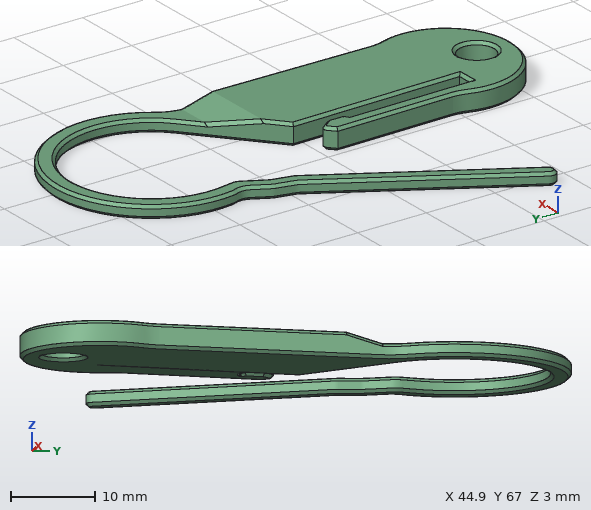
import cadquery as cq
import math


TAG_HEIGHT = 3.0
HOOK_HEIGHT = 1.8
SLOT_FLOOR = 0.4
CHAMFER = 0.4

END_RADIUS = 9.5
TAG_HALF_WIDTH = 8.65
SIDE_FLARE = 0.3
BLEND_RADIUS = 6.0
HOLE_DIAMETER = 5.0
HOLE_Y = -4.5
SHOULDER = (-4.75, 25.6)

RAMP_TOP_Y = 27.9
RAMP_FOOT_Y = 32.35

TAG_ZONE_HALF_WIDTH = 12.05

RING_X = -1.0
RING_Y = 43.6
RING_OUTER = 13.85
RING_INNER = 11.4
RING_END_Y = 41.2

ARM_WIDTH = 2.15
ARM_BENDS = [(-13.0, 39.45), (-14.9, 36.0), (-15.6, 32.95)]
ARM_TIP = (-30.95, 7.2)
BEND_RADIUS = 2.0

SLOT_END_Y = 1.1
SLOT_END_LEFT = -6.55
SLOT_END_RIGHT = -4.3
FINGER_INNER_X = -6.75
FINGER_SHOULDER_Y = 22.1
FINGER_PEAK = (-7.45, 23.45)
FINGER_PEAK_RADIUS = 0.7
BARB_X = -6.1
BARB_TOP_Y = 21.7
BARB_BOTTOM_Y = 19.3
BARB_UNDERCUT_Y = 18.9
FLOOR_EDGE_MIDDLE_Y = 18.3
FLOOR_EDGE_CORNER_Y = 18.8


def polar(centre, radius, angle):
    return (centre[0] + radius * math.cos(angle), centre[1] + radius * math.sin(angle))


def direction(start, end):
    return math.atan2(end[1] - start[1], end[0] - start[0])


def signed_angle(from_angle, to_angle):
    return math.remainder(to_angle - from_angle, 2 * math.pi)


def wall_blend(centre, radius, wall_x, above):
    """Concave arc joining a wall along Y to a circle on its left: wall, middle and circle points."""
    blend_dx = wall_x + BLEND_RADIUS - centre[0]
    blend_dy = math.sqrt((radius + BLEND_RADIUS) ** 2 - blend_dx**2)
    blend_centre = (wall_x + BLEND_RADIUS, centre[1] + (blend_dy if above else -blend_dy))
    to_circle = direction(blend_centre, centre) % (2 * math.pi)
    middle = polar(blend_centre, BLEND_RADIUS, (math.pi + to_circle) / 2)
    return (wall_x, blend_centre[1]), middle, polar(blend_centre, BLEND_RADIUS, to_circle)


def mirrored(points):
    return [(-x, y) for x, y in points]


def rounded_corner(path, before, corner, after, radius):
    """A line towards the corner, then an arc tangent to both of its sides."""
    angle_in = direction(corner, before)
    angle_out = direction(corner, after)
    opening = signed_angle(angle_in, angle_out)
    half_angle = abs(opening) / 2
    bisector = angle_in + opening / 2
    setback = radius / math.tan(half_angle)
    middle = polar(corner, radius / math.sin(half_angle) - radius, bisector)
    path = path.lineTo(*polar(corner, setback, angle_in))
    return path.threePointArc(middle, polar(corner, setback, angle_out))


def ring_point(radius):
    """Point on the arm side of the ring where the round stretch ends."""
    drop = RING_Y - RING_END_Y
    return (RING_X - math.sqrt(radius**2 - drop**2), RING_END_Y)


def arm_side(side):
    """Corners of one edge of the arm, ring to tip; side is +1 or -1 for left or right of travel."""
    start = ring_point((RING_OUTER + RING_INNER) / 2)
    centres = [start] + ARM_BENDS + [ARM_TIP]
    corners = []
    for before, here, after in zip(centres, centres[1:], centres[2:]):
        turn = signed_angle(direction(before, here), direction(here, after))
        normal = direction(before, here) + turn / 2 + side * math.pi / 2
        corners.append(polar(here, ARM_WIDTH / 2 / math.cos(turn / 2), normal))
    tip_normal = direction(ARM_BENDS[-1], ARM_TIP) + side * math.pi / 2
    return corners + [polar(ARM_TIP, ARM_WIDTH / 2, tip_normal)]


def draw_arm_edge(path, points):
    """Straight lines through the points, with the bends between them rounded."""
    for before, corner, after in zip(points, points[1:], points[2:]):
        path = rounded_corner(path, before, corner, after, BEND_RADIUS)
    return path.lineTo(*points[-1])


def outline():
    """Closed plan outline of tag, ring, arm and finger, drawn anticlockwise from the tag's round end."""
    ring_centre = (RING_X, RING_Y)
    flared_x = TAG_HALF_WIDTH + SIDE_FLARE
    low_wall, low_middle, low_end = wall_blend((0, 0), END_RADIUS, TAG_HALF_WIDTH, True)
    left_wall, left_middle, left_end = mirrored([low_wall, low_middle, low_end])
    high_wall, high_middle, high_end = wall_blend(ring_centre, RING_OUTER, flared_x, False)

    outer_edge = [ring_point(RING_OUTER)] + arm_side(-1)
    inner_edge = [ring_point(RING_INNER)] + arm_side(1)
    inner_edge.reverse()

    to_shoulder = direction(ring_centre, SHOULDER)
    tangent_turn = math.acos(RING_INNER / math.dist(ring_centre, SHOULDER))
    tangent_point = polar(ring_centre, RING_INNER, to_shoulder + tangent_turn)
    ring_top_inner = (RING_X, RING_Y + RING_INNER)
    ring_top_outer = (RING_X, RING_Y + RING_OUTER)

    barb_top = (BARB_X, BARB_TOP_Y)
    finger_shoulder = (-flared_x, FINGER_SHOULDER_Y)

    path = cq.Workplane("XY").moveTo(*left_end)
    path = path.threePointArc((0, -END_RADIUS), low_end)
    path = path.threePointArc(low_middle, low_wall)
    path = path.lineTo(*high_wall)
    path = path.threePointArc(high_middle, high_end)
    path = path.threePointArc(ring_top_outer, outer_edge[0])
    path = draw_arm_edge(path, outer_edge)
    tip_end = polar(ARM_TIP, ARM_WIDTH / 2, direction(ARM_BENDS[-1], ARM_TIP))
    path = path.threePointArc(tip_end, inner_edge[0])
    path = draw_arm_edge(path, inner_edge)
    path = path.threePointArc(ring_top_inner, tangent_point)
    path = path.lineTo(*SHOULDER)
    path = path.lineTo(SLOT_END_RIGHT, SLOT_END_Y)
    path = path.lineTo(SLOT_END_LEFT, SLOT_END_Y)
    path = path.lineTo(FINGER_INNER_X, BARB_UNDERCUT_Y)
    path = path.lineTo(BARB_X, BARB_BOTTOM_Y)
    path = path.lineTo(*barb_top)
    path = rounded_corner(path, barb_top, FINGER_PEAK, finger_shoulder, FINGER_PEAK_RADIUS)
    path = path.lineTo(*finger_shoulder)
    path = path.lineTo(*left_wall)
    path = path.threePointArc(left_middle, left_end)
    return path.close()


def slab(height):
    """The whole outline with the keyring hole, chamfered along every top and bottom edge."""
    hole = cq.Workplane("XY").center(0, HOLE_Y).circle(HOLE_DIAMETER / 2).extrude(height)
    return outline().extrude(height).cut(hole).faces("<Z or >Z").edges().chamfer(CHAMFER)


def tag_zone(from_y, to_y):
    """Block around the tag's part of the outline between two Y positions, clear of the arm."""
    return cq.Workplane("XY").box(
        2 * TAG_ZONE_HALF_WIDTH, to_y - from_y, TAG_HEIGHT, centered=(True, False, False)
    ).translate((0, from_y, 0))


def ramp():
    """Sloping part of the tag between the two crease lines, chamfered along its sides."""
    profile = [
        (RAMP_TOP_Y, 0),
        (RAMP_FOOT_Y, 0),
        (RAMP_FOOT_Y, HOOK_HEIGHT),
        (RAMP_TOP_Y, TAG_HEIGHT),
    ]
    wedge = cq.Workplane("YZ").polyline(profile).close().extrude(TAG_ZONE_HALF_WIDTH, both=True)
    blank = outline().extrude(TAG_HEIGHT).intersect(wedge)
    return blank.faces("<Z or >Z").edges("not |X").chamfer(CHAMFER)


def slot_floor():
    """Thin web closing the slot from below; its open end is hollowed by an arc."""
    edge_middle_x = (FINGER_INNER_X + SHOULDER[0]) / 2
    return (
        cq.Workplane("XY")
        .moveTo(SLOT_END_LEFT - CHAMFER, SLOT_END_Y - CHAMFER)
        .lineTo(SLOT_END_RIGHT + CHAMFER, SLOT_END_Y - CHAMFER)
        .lineTo(SHOULDER[0] + CHAMFER, FLOOR_EDGE_CORNER_Y)
        .lineTo(SHOULDER[0], FLOOR_EDGE_CORNER_Y)
        .threePointArc((edge_middle_x, FLOOR_EDGE_MIDDLE_Y), (FINGER_INNER_X, FLOOR_EDGE_CORNER_Y))
        .lineTo(FINGER_INNER_X - CHAMFER, FLOOR_EDGE_CORNER_Y)
        .close()
        .extrude(SLOT_FLOOR)
    )


tag = slab(TAG_HEIGHT).intersect(tag_zone(-END_RADIUS, RAMP_TOP_Y))
hook = slab(HOOK_HEIGHT).cut(tag_zone(-END_RADIUS, RAMP_FOOT_Y))
result = tag.union(ramp()).union(hook).union(slot_floor())